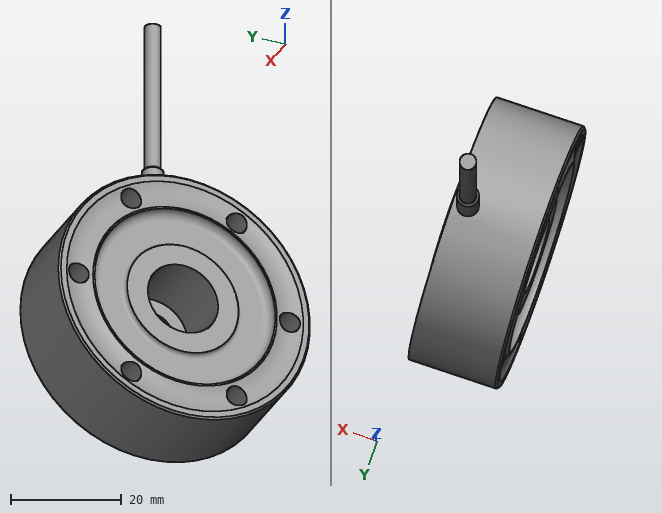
import cadquery as cq
import math

disc_diameter = 50.0
disc_thickness = 16.9
rim_chamfer = 0.4
overall_height = 89.0

overall_thickness = 18.0
button_diameter = 22.2

groove_outer_diameter = 47.0
groove_inner_diameter = 36.6
groove_depth = 0.5
hole_diameter = 4.0
hole_circle_diameter = 41.9
hole_count = 6

recess_diameter = 35.9
recess_depth = 1.8
recess_fillet = 1.7
hub_diameter = 22.2
hub_height = 0.9

bore_diameter = 14.0
bore_depth = 14.2
through_diameter = 8.4

cable_x = 14.1
cable_diameter = 3.0
sleeve_diameter = 4.0
sleeve_top = 34.0
sleeve_chamfer = 0.45

disc_radius = disc_diameter / 2
cable_top = overall_height - disc_radius


def x_cylinder(diameter, start, end):
    """Cylinder about the X axis between two X positions."""
    return cq.Workplane("YZ").workplane(offset=start).circle(diameter / 2).extrude(end - start)


def z_cylinder(diameter, start, end):
    """Cylinder parallel to Z at the cable position."""
    profile = cq.Workplane("XY", origin=(cable_x, 0, start)).circle(diameter / 2)
    return profile.extrude(end - start)


def make_disc():
    disc = x_cylinder(disc_diameter, 0, disc_thickness)
    disc = disc.faces("<X").chamfer(rim_chamfer)
    button = x_cylinder(button_diameter, disc_thickness, overall_thickness)
    return disc.union(button)


def make_ring_groove():
    inner = groove_inner_diameter / 2
    outer = groove_outer_diameter / 2
    section = (
        cq.Workplane("XY")
        .moveTo(0, inner)
        .threePointArc((groove_depth, (inner + outer) / 2), (0, outer))
        .close()
    )
    return section.revolve(360, (0, 0, 0), (1, 0, 0))


def make_recess():
    """Recess with a rounded outer corner and a hub flaring into its floor."""
    recess = x_cylinder(recess_diameter, 0, recess_depth)
    hub_face = recess_depth - hub_height
    hub_radius = hub_diameter / 2
    arc_offset = hub_height * (1 - math.sqrt(0.5))
    hub = (
        cq.Workplane("XY")
        .moveTo(hub_face, 0)
        .lineTo(hub_face, hub_radius)
        .threePointArc(
            (recess_depth - arc_offset, hub_radius + arc_offset),
            (recess_depth, hub_radius + hub_height),
        )
        .lineTo(recess_depth, 0)
        .close()
        .revolve(360, (0, 0, 0), (1, 0, 0))
    )
    recess = recess.faces(">X").edges().fillet(recess_fillet)
    return recess.cut(hub)


def make_mounting_holes():
    holes = cq.Workplane("YZ").polarArray(hole_circle_diameter / 2, 0, 360, hole_count)
    return holes.circle(hole_diameter / 2).extrude(disc_thickness)


def make_cable():
    start = disc_radius - sleeve_diameter / 2
    sleeve = z_cylinder(sleeve_diameter, start, sleeve_top)
    sleeve = sleeve.faces(">Z").chamfer(sleeve_chamfer)
    return sleeve.union(z_cylinder(cable_diameter, start, cable_top))


body = make_disc().union(make_cable())
body = body.cut(make_ring_groove())
body = body.cut(make_recess())
body = body.cut(make_mounting_holes())
body = body.cut(x_cylinder(bore_diameter, 0, bore_depth))
result = body.cut(x_cylinder(through_diameter, 0, overall_thickness))